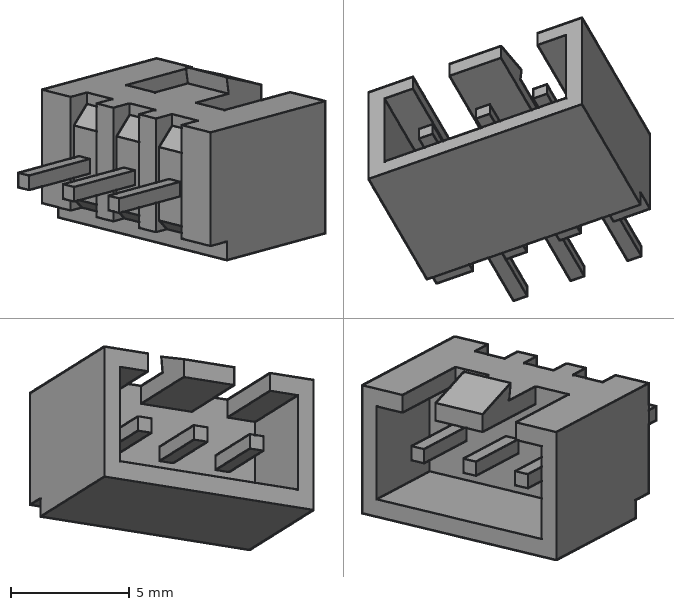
import cadquery as cq

overall_length = 10.5
width = 9.9
overall_height = 6.54
body_depth = 6.99
body_height = 5.8
front_y = overall_length - body_depth
back_y = overall_length

step_height = 0.82
step_depth = 0.99

side_wall = 0.75
plate_thickness = 0.8
cavity_depth = 4.0

slots_outer_width = 5.78
tongue_width = 2.39

hook_base = 2.0
hook_length = 2.12

contact_count = 3
pocket_pitch = 2.5
pocket_width = 1.51
plug_inset = 0.2
plug_slope_margin = 0.5
plug_face_margin = 1.29

pin_pitch = 2.65
pin_size = 0.64
pin_tip_gap = 0.79
pin_length = overall_length - pin_tip_gap


def box(x_size, y_min, y_max, z_min, z_max, x_center=0):
    """Box centred at x_center, spanning the given Y and Z ranges."""
    size = (x_size, y_max - y_min, z_max - z_min)
    return cq.Workplane("XY").box(*size, centered=(True, False, False)).translate((x_center, y_min, z_min))


def side_prism(points, x_size, x_center=0):
    """Prism along X from an outline of (Y, Z) points."""
    return cq.Workplane("YZ").polyline(points).close().extrude(x_size / 2, both=True).translate((x_center, 0, 0))


def contact_positions(pitch):
    return [(i - (contact_count - 1) / 2) * pitch for i in range(contact_count)]


def housing():
    cavity_end = back_y - cavity_depth
    roof_bottom = body_height - plate_thickness
    body = box(width, front_y, back_y, 0, body_height)
    step = box(width, front_y, front_y + step_depth, 0, step_height)
    cavity = box(width - 2 * side_wall, cavity_end, back_y, plate_thickness, roof_bottom)
    slots = box(slots_outer_width, cavity_end, back_y, roof_bottom, body_height)
    tongue = box(tongue_width, cavity_end, back_y, roof_bottom, body_height)
    return body.cut(step).cut(cavity).cut(slots.cut(tongue))


def hook():
    outline = [
        (back_y, body_height),
        (back_y - hook_base, body_height),
        (back_y - hook_length, overall_height),
    ]
    return side_prism(outline, tongue_width)


def pocket_cut(x_center):
    """Space in front of one plug: a thin gap that widens inward at the top and bottom."""
    pocket_back = front_y + step_depth
    plug_face = front_y + plug_inset
    outline = [
        (front_y, 0),
        (pocket_back, 0),
        (pocket_back, plug_slope_margin),
        (plug_face, plug_face_margin),
        (plug_face, body_height - plug_face_margin),
        (pocket_back, body_height - plug_slope_margin),
        (pocket_back, body_height),
        (front_y, body_height),
    ]
    return side_prism(outline, pocket_width, x_center)


def pin(x_center):
    middle = body_height / 2
    return box(pin_size, 0, pin_length, middle - pin_size / 2, middle + pin_size / 2, x_center)


result = housing().union(hook())
for pocket_x in contact_positions(pocket_pitch):
    result = result.cut(pocket_cut(pocket_x))
for pin_x in contact_positions(pin_pitch):
    result = result.union(pin(pin_x))